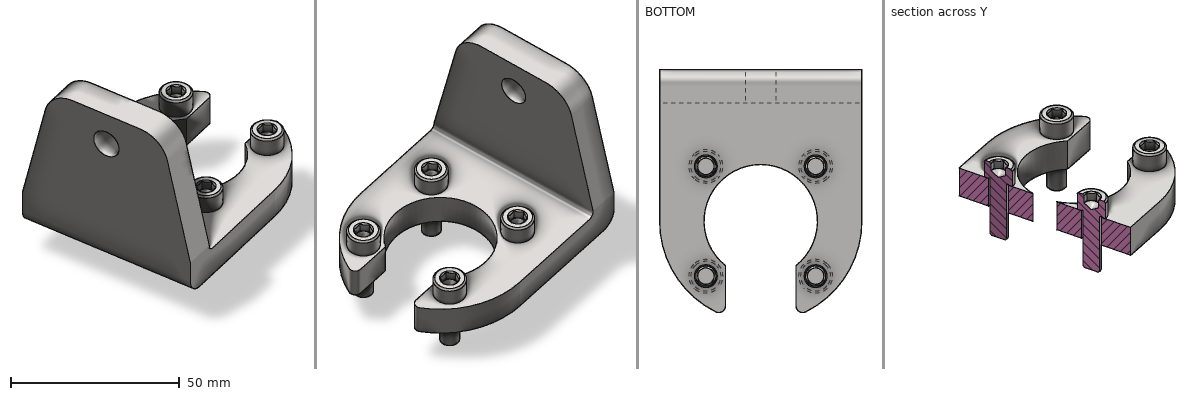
import cadquery as cq
import math


overall_length = 72.1
width = 60.0
thickness = 10.0
height = 55.0
bore_diameter = 33.5
slot_width = 20.85
tip_radius = 2.0
bend_outer_radius = 5.0
bend_inner_radius = 1.8
taper_start_z = 12.05
top_width = 39.95
top_corner_radius = 10.0
cross_hole_diameter = 9.0
cross_hole_z = 44.0
screw_hole_diameter = 6.8

screw_spacing = 32.5
shank_diameter = 6.0
shank_protrusion = 10.0
shank_chamfer = 0.6
head_diameter = 10.0
head_height = 6.0
head_chamfer = 0.6
socket_across_flats = 5.0
socket_depth = 3.0
socket_mouth_diameter = 6.0
socket_tip_angle = 120.0

outer_radius = width / 2
tip_x = slot_width / 2 + tip_radius
tip_y = math.sqrt((outer_radius - tip_radius) ** 2 - tip_x ** 2)
rear_y = tip_y + tip_radius
front_y = rear_y - overall_length
half_spacing = screw_spacing / 2
screw_places = [(x, y) for x in (-half_spacing, half_spacing) for y in (-half_spacing, half_spacing)]


def make_base():
    """Flat plate with a round rear end, a bore and a slot that opens the bore to the rear."""
    plate = (
        cq.Workplane("XY")
        .moveTo(-outer_radius, front_y)
        .lineTo(outer_radius, front_y)
        .lineTo(outer_radius, 0)
        .threePointArc((0, outer_radius), (-outer_radius, 0))
        .close()
        .extrude(thickness)
    )
    slot = cq.Workplane("XY").rect(slot_width, 2 * outer_radius).extrude(thickness)
    slot = slot.translate((0, outer_radius, 0))
    bore = cq.Workplane("XY").circle(bore_diameter / 2).extrude(thickness)
    plate = plate.cut(slot)
    plate = plate.edges("|Z and >Y").fillet(tip_radius)
    return plate.cut(bore)


def make_upright():
    """Front wall, tapered towards a top with rounded corners."""
    wall = (
        cq.Workplane("XZ", origin=(0, front_y, 0))
        .moveTo(-width / 2, 0)
        .lineTo(width / 2, 0)
        .lineTo(width / 2, taper_start_z)
        .lineTo(top_width / 2, height)
        .lineTo(-top_width / 2, height)
        .lineTo(-width / 2, taper_start_z)
        .close()
        .extrude(-thickness)
    )
    return wall.edges("|Y and >Z").fillet(top_corner_radius)


def round_bend(bracket):
    """Round the outer and inner edges of the bend between base and upright."""
    bracket = bracket.edges("|X and <Y and <Z").fillet(bend_outer_radius)
    inner_edge = cq.selectors.NearestToPointSelector((0, front_y + thickness, thickness))
    return bracket.edges(inner_edge).fillet(bend_inner_radius)


def make_bracket():
    bracket = round_bend(make_base().union(make_upright()))
    cross_hole = (
        cq.Workplane("XZ", origin=(0, front_y, cross_hole_z))
        .circle(cross_hole_diameter / 2)
        .extrude(-thickness)
    )
    screw_holes = (
        cq.Workplane("XY")
        .pushPoints(screw_places)
        .circle(screw_hole_diameter / 2)
        .extrude(thickness)
    )
    return bracket.cut(cross_hole).cut(screw_holes)


def make_socket():
    """Hexagonal socket with a chamfered mouth and a conical bottom, opening upwards at Z = 0."""
    hex_circumdiameter = socket_across_flats / math.cos(math.pi / 6)
    flat_radius = socket_across_flats / 2
    mouth_radius = socket_mouth_diameter / 2
    cone_depth = flat_radius / math.tan(math.radians(socket_tip_angle / 2))
    hexagon = (
        cq.Workplane("XY")
        .transformed(rotate=(0, 0, 90))
        .polygon(6, hex_circumdiameter)
        .extrude(-socket_depth)
    )
    mouth = cq.Solid.makeCone(flat_radius, mouth_radius, mouth_radius - flat_radius)
    mouth = mouth.translate(cq.Vector(0, 0, flat_radius - mouth_radius))
    bottom = cq.Solid.makeCone(0, flat_radius, cone_depth)
    bottom = bottom.translate(cq.Vector(0, 0, -socket_depth - cone_depth))
    return hexagon.union(cq.Workplane(mouth)).union(cq.Workplane(bottom))


def make_screw(x, y):
    """Socket head screw whose head rests on the base."""
    shank = (
        cq.Workplane("XY")
        .circle(shank_diameter / 2)
        .extrude(-(thickness + shank_protrusion))
        .faces("<Z")
        .chamfer(shank_chamfer)
    )
    head = (
        cq.Workplane("XY")
        .circle(head_diameter / 2)
        .extrude(head_height)
        .faces(">Z")
        .chamfer(head_chamfer)
    )
    socket = make_socket().translate((0, 0, head_height))
    return head.union(shank).cut(socket).translate((x, y, thickness))


bracket = make_bracket()
screws = [make_screw(x, y) for x, y in screw_places]

result = cq.Compound.makeCompound([bracket.val(), *[screw.val() for screw in screws]])